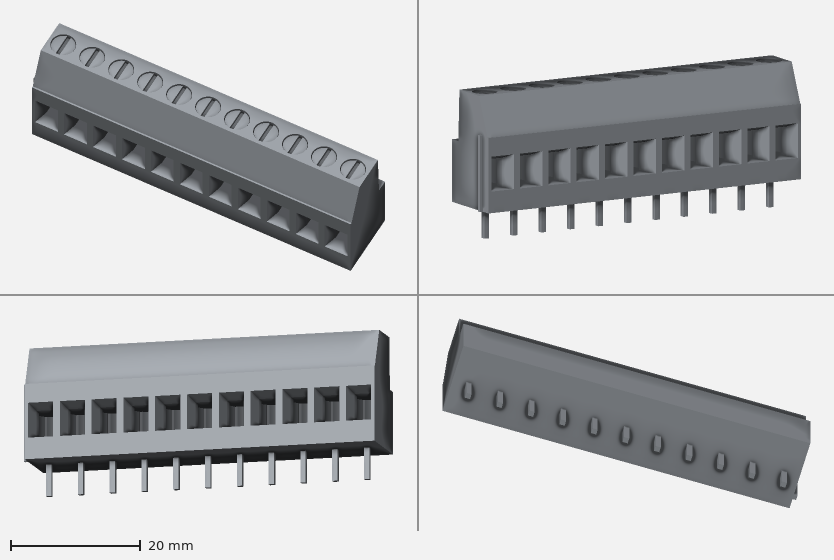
import cadquery as cq
import math

pole_count = 11
pitch = 5.1
overall_length = 56.45
rib_projection = 0.55
body_length = overall_length - rib_projection
body_depth = 11.2
body_height = 18.0
last_pole_margin = 2.55
first_pole_x = body_length - last_pole_margin - (pole_count - 1) * pitch

lip_height = 11.85
lip_depth = 0.3
roof_front = 2.9
roof_back = 8.85
step_height = 9.8
step_front = 9.2

rib_front = 1.6
rib_width = 0.7
rib_height = 12.0

pin_size = 0.85
pin_length = 4.95
pin_y = 5.25

entry_bottom = 3.4
entry_width = 4.0
entry_height = 5.5
throat_width = 2.65
throat_height = 4.65
funnel_depth = 2.4

screw_y = 5.5
screw_hole_diameter = 4.0
screw_diameter = 3.8
screw_recess = 0.2
screw_hole_depth = 0.85
slot_width = 0.7
slot_depth = 0.55
bore_groove_width = 1.85

screw_hole_radius = screw_hole_diameter / 2
throat_depth = screw_y + math.sqrt(screw_hole_radius**2 - (bore_groove_width / 2) ** 2)

pole_xs = [first_pole_x + i * pitch for i in range(pole_count)]


def box(x_size, y_size, z_size, x_center, y_min, z_min):
    """Block centred on x_center, starting at y_min and z_min."""
    block = cq.Workplane("XY").box(x_size, y_size, z_size, centered=(True, False, False))
    return block.translate((x_center, y_min, z_min))


def make_body():
    profile = [
        (0, 0),
        (body_depth, 0),
        (body_depth, step_height),
        (step_front, step_height),
        (roof_back, body_height),
        (roof_front, body_height),
        (lip_depth, lip_height),
        (0, lip_height),
    ]
    return cq.Workplane("YZ").polyline(profile).close().extrude(body_length)


def make_wire_entry(x):
    """Funnel with a flat floor, narrowing on three sides into a throat that crosses the screw bore."""
    funnel = (
        cq.Workplane("XZ", origin=(x, 0, entry_bottom))
        .center(0, entry_height / 2)
        .rect(entry_width, entry_height)
        .workplane(offset=-funnel_depth)
        .center(0, (throat_height - entry_height) / 2)
        .rect(throat_width, throat_height)
        .loft(ruled=True)
    )
    throat = box(throat_width, throat_depth, throat_height, x, 0, entry_bottom)
    bore = (
        cq.Workplane("XY", origin=(x, screw_y, entry_bottom))
        .circle(screw_hole_radius)
        .extrude(throat_height)
    )
    return funnel.union(throat).union(bore)


def make_screw_recess(x):
    """Hole in the roof, less the slotted screw head standing in it."""
    floor_z = body_height - screw_hole_depth
    base = cq.Workplane("XY", origin=(x, screw_y, floor_z))
    hole = base.circle(screw_hole_radius).extrude(screw_hole_depth)
    head_height = screw_hole_depth - screw_recess
    head = base.circle(screw_diameter / 2).extrude(head_height)
    slot = box(slot_width, screw_diameter, slot_depth, x, screw_y - screw_diameter / 2,
               floor_z + head_height - slot_depth)
    return hole.cut(head.cut(slot))


result = make_body()
rib = box(rib_projection, rib_width, rib_height, -rib_projection / 2, rib_front, 0)
result = result.union(rib)
for pole_x in pole_xs:
    result = result.cut(make_wire_entry(pole_x))
    result = result.cut(make_screw_recess(pole_x))
    pin = box(pin_size, pin_size, pin_length, pole_x, pin_y - pin_size / 2, -pin_length)
    result = result.union(pin)